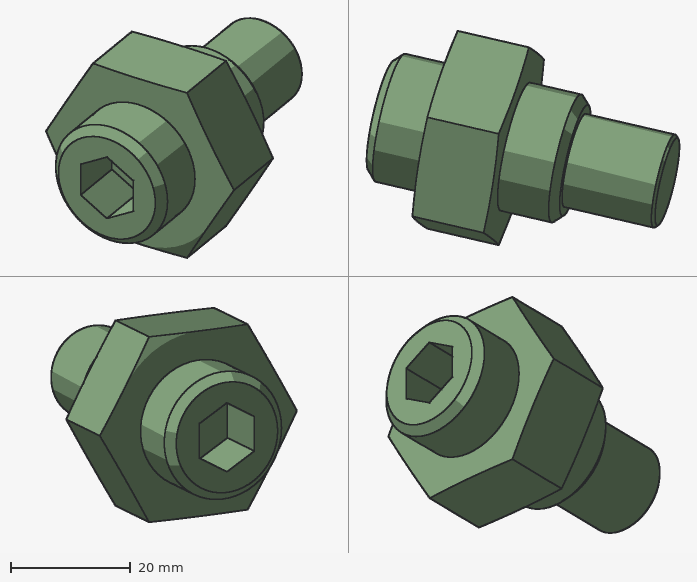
import cadquery as cq
import math

total_length = 49.5
body_diameter = 22.0
body_chamfer = 1.5
pilot_diameter = 16.0
pilot_length = 16.0
pilot_chamfer = 0.5
body_length = total_length - pilot_length

socket_flats = 10.3
socket_depth = 9.9

nut_flats = 32.0
nut_thickness = 12.95
nut_front = 10.2
nut_chamfer_depth = 0.3


def corner_diameter(flats):
    """Distance across the corners of a hexagon with this width across flats."""
    return flats / math.cos(math.pi / 6)


def y_plane(y):
    """Plane at the given Y whose normal points towards +Y."""
    return cq.Plane(origin=(0, y, 0), xDir=(1, 0, 0), normal=(0, 1, 0))


def make_screw():
    body = cq.Workplane(y_plane(0)).circle(body_diameter / 2).extrude(body_length).edges().chamfer(body_chamfer)
    pilot = (
        cq.Workplane(y_plane(body_length))
        .circle(pilot_diameter / 2)
        .extrude(pilot_length)
        .faces(">Y")
        .chamfer(pilot_chamfer)
    )
    socket = (
        cq.Workplane(y_plane(0))
        .transformed(rotate=(0, 0, 90))
        .polygon(6, corner_diameter(socket_flats))
        .extrude(socket_depth)
    )
    return body.union(pilot).cut(socket)


def make_nut():
    corner_radius = corner_diameter(nut_flats) / 2
    prism = cq.Workplane(y_plane(nut_front)).polygon(6, 2 * corner_radius).extrude(nut_thickness)

    nut_rear = nut_front + nut_thickness
    envelope = (
        cq.Workplane("XY")
        .moveTo(0, nut_front)
        .lineTo(nut_flats / 2, nut_front)
        .lineTo(corner_radius, nut_front + nut_chamfer_depth)
        .lineTo(corner_radius, nut_rear - nut_chamfer_depth)
        .lineTo(nut_flats / 2, nut_rear)
        .lineTo(0, nut_rear)
        .close()
        .revolve(360, (0, 0, 0), (0, 1, 0))
    )
    bore = cq.Workplane(y_plane(nut_front)).circle(body_diameter / 2).extrude(nut_thickness)
    return prism.intersect(envelope).cut(bore)


screw = make_screw()
nut = make_nut()
result = cq.Compound.makeCompound([screw.val(), nut.val()])